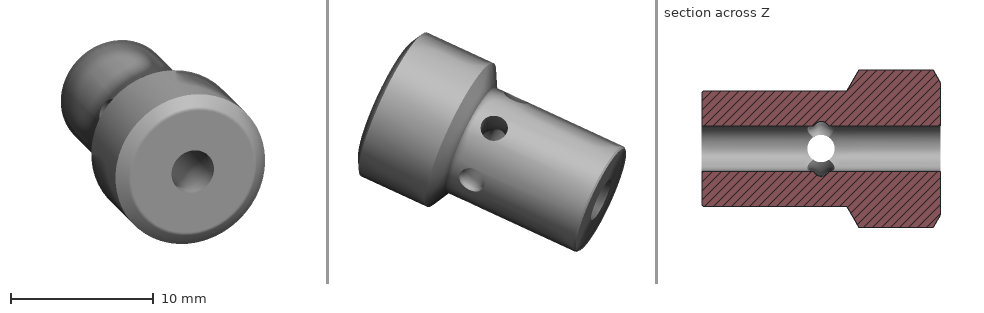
import math
import cadquery as cq

length = 16.76
head_diameter = 11.11
sleeve_diameter = 8.13
bore_diameter = 3.15

sleeve_length = 10.16
sleeve_end_chamfer = 0.127
cone_half_angle = 60

end_bevel_length = 0.525
end_fillet = 0.44

port_diameter = 1.91
port_count = 6
port_x = length / 2

head_radius = head_diameter / 2
sleeve_radius = sleeve_diameter / 2
cone_slope = math.tan(math.radians(cone_half_angle))
cone_length = (head_radius - sleeve_radius) / cone_slope
end_face_radius = head_radius - end_bevel_length * cone_slope


def make_body():
    """Solid of revolution about X: chamfered sleeve, cone and bevelled head with a rounded end edge."""
    profile = [
        (0, 0),
        (0, sleeve_radius),
        (sleeve_length, sleeve_radius),
        (sleeve_length + cone_length, head_radius),
        (length - end_bevel_length, head_radius),
        (length, end_face_radius),
        (length, 0),
    ]
    body = cq.Workplane("XY").polyline(profile).close().revolve(360, (0, 0, 0), (1, 0, 0))
    body = body.faces("<X").edges().chamfer(sleeve_end_chamfer)
    return body.faces(">X").edges().fillet(end_fillet)


def make_bore():
    """Straight bore through the full length."""
    return cq.Workplane("YZ").circle(bore_diameter / 2).extrude(length)


def make_port(angle):
    """Radial port cutter running from the axis outward, turned about X from +Z."""
    port = cq.Workplane("XY").center(port_x, 0).circle(port_diameter / 2).extrude(head_radius)
    return port.rotate((0, 0, 0), (1, 0, 0), angle)


result = make_body().cut(make_bore())
for index in range(port_count):
    result = result.cut(make_port(index * 360 / port_count))